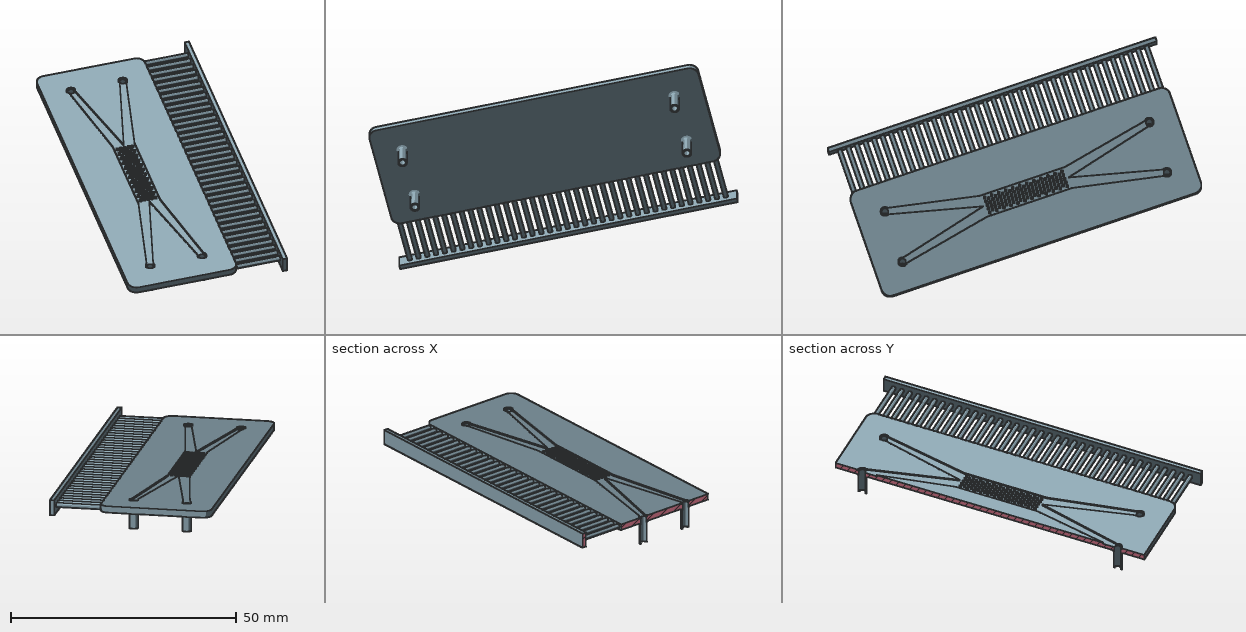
import cadquery as cq

bar_length = 77.0
bar_thickness = 1.0
bar_overhang = 1.0
pin_count = 37
pin_pitch = 2.0
pin_diameter = 1.0
pin_length = 10.0
pin_cover = 0.25

plate_length = 75.0
plate_width = 25.0
plate_thickness = pin_diameter + 2 * pin_cover
plate_corner_radius = 2.0
plate_top = plate_thickness / 2
plate_bottom = -plate_thickness / 2
plate_back = plate_width / 2
bar_height = plate_thickness + 2 * bar_overhang

port_spacing_x = 62.1
port_spacing_y = 12.0
tube_diameter = 2.0
tube_bore = 1.5
tube_length = 5.0
tube_root_radius = 0.5

channel_depth = 0.3
channel_floor = plate_top - channel_depth
chamber_length = 20.0
chamber_width = 5.0
arm_port_width = tube_bore

post_diameter = 0.5
post_columns = 12
post_rows = 5
post_span_x = 18.2
post_span_y = 3.55
post_pitch_x = post_span_x / (post_columns - 1)
post_pitch_y = post_span_y / (post_rows - 1)

corner_signs = [(side_x, side_y) for side_x in (-1, 1) for side_y in (-1, 1)]
port_points = [(sx * port_spacing_x / 2, sy * port_spacing_y / 2) for sx, sy in corner_signs]


def port_cylinders(diameter, bottom, height):
    """One upright cylinder at every port."""
    return (
        cq.Workplane("XY", origin=(0, 0, bottom))
        .pushPoints(port_points)
        .circle(diameter / 2)
        .extrude(height)
    )


def make_plate():
    """Rounded plate with the solid tubes below it, filleted where they meet."""
    plate = (
        cq.Workplane("XY")
        .box(plate_length, plate_width, plate_thickness)
        .edges("|Z")
        .fillet(plate_corner_radius)
    )
    plate = plate.union(port_cylinders(tube_diameter, plate_bottom - tube_length, tube_length))

    reach_x = (port_spacing_x + tube_diameter) / 2
    reach_y = (port_spacing_y + tube_diameter) / 2
    reach_z = channel_depth
    tube_roots = cq.selectors.BoxSelector(
        (-reach_x, -reach_y, plate_bottom - reach_z),
        (reach_x, reach_y, plate_bottom + reach_z),
    )
    return plate.edges(tube_roots).fillet(tube_root_radius)


def make_header():
    """Bar behind the plate and the pins that bridge the gap."""
    bar_y = plate_back + pin_length + bar_thickness / 2
    bar = cq.Workplane("XY", origin=(0, bar_y, 0)).box(bar_length, bar_thickness, bar_height)
    pins = (
        cq.Workplane("XZ", origin=(0, plate_back, 0))
        .rarray(pin_pitch, 0.8, pin_count, 1)
        .circle(pin_diameter / 2)
        .extrude(-pin_length)
    )
    return bar.union(pins)


def make_arm(side_x, side_y):
    """Tapered channel from one half of a chamber end to a port."""
    chamber_end_x = side_x * chamber_length / 2
    port_x = side_x * port_spacing_x / 2
    port_y = side_y * port_spacing_y / 2
    outer_offset = side_y * arm_port_width / 2
    return (
        cq.Workplane("XY", origin=(0, 0, channel_floor))
        .moveTo(chamber_end_x, 0)
        .lineTo(chamber_end_x, side_y * chamber_width / 2)
        .lineTo(port_x, port_y + outer_offset)
        .lineTo(port_x, port_y - outer_offset)
        .close()
        .extrude(channel_depth)
    )


def make_post_grid(columns, rows):
    """Centred grid of posts as tall as the channel is deep."""
    return (
        cq.Workplane("XY", origin=(0, 0, channel_floor))
        .rarray(post_pitch_x, post_pitch_y, columns, rows)
        .circle(post_diameter / 2)
        .extrude(channel_depth)
    )


def make_channels():
    """Space removed from the top face, leaving the posts standing."""
    channels = (
        cq.Workplane("XY", origin=(0, 0, channel_floor))
        .rect(chamber_length, chamber_width)
        .extrude(channel_depth)
    )
    for side_x, side_y in corner_signs:
        channels = channels.union(make_arm(side_x, side_y))
    channels = channels.union(port_cylinders(tube_diameter, channel_floor, channel_depth))
    channels = channels.cut(make_post_grid(post_columns, post_rows))
    return channels.cut(make_post_grid(post_columns - 1, post_rows - 1))


bores = port_cylinders(tube_bore, plate_bottom - tube_length, tube_length + plate_thickness)

result = make_plate().union(make_header()).cut(make_channels()).cut(bores)